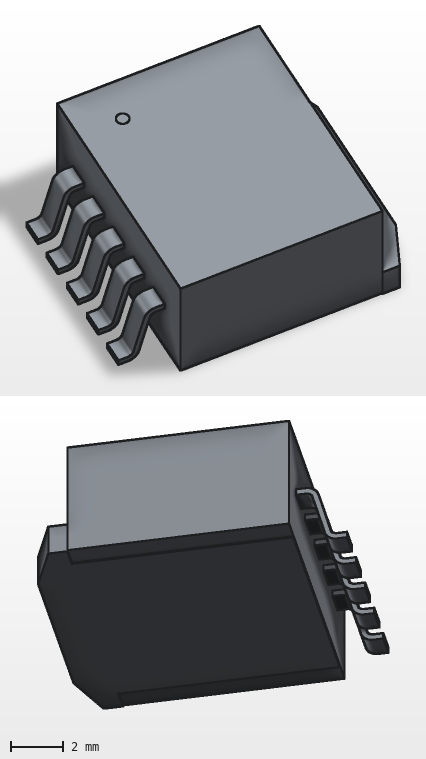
import cadquery as cq
import math

WIDTH = 10.41
LENGTH = 12.13
HEIGHT = 4.85
LEAD_REACH = 1.98
TAB_REACH = 1.53
STANDOFF = 0.05

TAB_THICKNESS = 1.26
TAB_CORNER_X = 1.89
TAB_CORNER_Y = 0.79
PLATE_SIDE_INSET = 0.85
PLATE_FRONT_INSET = 0.01

LEAD_COUNT = 5
LEAD_PITCH = 1.7
LEAD_WIDTH = 0.96
LEAD_THICKNESS = 0.25
LEAD_RISE = 2.52
LEAD_SHOULDER = 0.39
LEAD_LEAN = 15.0
BEND_INNER = 0.25
BEND_OUTER = BEND_INNER + LEAD_THICKNESS

MARK_DIAMETER = 0.52
MARK_DEPTH = 0.05
MARK_FROM_SIDE = 1.81
MARK_FROM_FRONT = 1.88

TIP_Y = -LENGTH / 2
BACK_Y = LENGTH / 2
HOUSING_FRONT_Y = TIP_Y + LEAD_REACH
HOUSING_BACK_Y = BACK_Y - TAB_REACH


def make_mark():
    """Pin-one disc, flush with the housing top."""
    return (
        cq.Workplane("XY", origin=(0, 0, HEIGHT - MARK_DEPTH))
        .center(MARK_FROM_SIDE - WIDTH / 2, HOUSING_FRONT_Y + MARK_FROM_FRONT)
        .circle(MARK_DIAMETER / 2)
        .extrude(MARK_DEPTH)
    )


def make_housing(mark):
    """Plain block with a shallow recess that holds the mark."""
    block = cq.Workplane("XY").box(
        WIDTH,
        HOUSING_BACK_Y - HOUSING_FRONT_Y,
        HEIGHT - STANDOFF,
        centered=(True, False, False),
    )
    return block.translate((0, HOUSING_FRONT_Y, STANDOFF)).cut(mark)


def make_tab():
    """Thick tab behind the housing, continuing as a thin, narrower plate under it."""
    half = WIDTH / 2
    tab = (
        cq.Workplane("XY")
        .moveTo(-half, HOUSING_BACK_Y)
        .lineTo(half, HOUSING_BACK_Y)
        .lineTo(half, BACK_Y - TAB_CORNER_Y)
        .lineTo(half - TAB_CORNER_X, BACK_Y)
        .lineTo(-half + TAB_CORNER_X, BACK_Y)
        .lineTo(-half, BACK_Y - TAB_CORNER_Y)
        .close()
        .extrude(TAB_THICKNESS)
    )
    plate_front_y = HOUSING_FRONT_Y + PLATE_FRONT_INSET
    plate_width = WIDTH - 2 * PLATE_SIDE_INSET
    plate = (
        cq.Workplane("XY")
        .box(plate_width, HOUSING_BACK_Y - plate_front_y, STANDOFF, centered=(True, False, False))
        .translate((0, plate_front_y, 0))
    )
    return tab.union(plate)


def make_lead(x):
    """Gull-wing lead centred on x: shoulder, bend, leaning leg, bend and foot."""
    lean = math.radians(LEAD_LEAN)
    top_z = STANDOFF + LEAD_RISE
    foot_top_z = STANDOFF + LEAD_THICKNESS

    upper_y = HOUSING_FRONT_Y - LEAD_SHOULDER
    upper_z = top_z - BEND_OUTER
    lower_z = foot_top_z + BEND_INNER
    radius_sum = BEND_OUTER + BEND_INNER
    drop = upper_z - lower_z
    leg_length = (drop + radius_sum * math.sin(lean)) / math.cos(lean)
    lower_y = upper_y - radius_sum * math.cos(lean) - leg_length * math.sin(lean)

    def on_upper(radius, angle):
        return upper_y - radius * math.cos(angle), upper_z + radius * math.sin(angle)

    def on_lower(radius, angle):
        return lower_y + radius * math.cos(angle), lower_z - radius * math.sin(angle)

    mid_bend = (lean + math.pi / 2) / 2
    return (
        cq.Workplane("YZ", origin=(x - LEAD_WIDTH / 2, 0, 0))
        .moveTo(HOUSING_FRONT_Y, top_z)
        .lineTo(upper_y, top_z)
        .threePointArc(on_upper(BEND_OUTER, mid_bend), on_upper(BEND_OUTER, lean))
        .lineTo(*on_lower(BEND_INNER, lean))
        .threePointArc(on_lower(BEND_INNER, mid_bend), (lower_y, foot_top_z))
        .lineTo(TIP_Y, foot_top_z)
        .lineTo(TIP_Y, STANDOFF)
        .lineTo(lower_y, STANDOFF)
        .threePointArc(on_lower(BEND_OUTER, mid_bend), on_lower(BEND_OUTER, lean))
        .lineTo(*on_upper(BEND_INNER, lean))
        .threePointArc(on_upper(BEND_INNER, mid_bend), (upper_y, top_z - LEAD_THICKNESS))
        .lineTo(HOUSING_FRONT_Y, top_z - LEAD_THICKNESS)
        .close()
        .extrude(LEAD_WIDTH)
    )


mark = make_mark()
housing = make_housing(mark)
tab = make_tab()
leads = []
for index in range(LEAD_COUNT):
    lead_x = (index - (LEAD_COUNT - 1) / 2) * LEAD_PITCH
    leads.append(make_lead(lead_x).val())

result = cq.Compound.makeCompound([housing.val(), tab.val(), mark.val(), *leads])